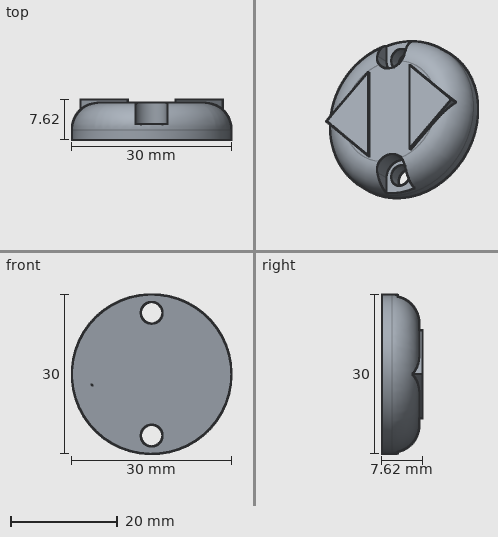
import cadquery as cq

disc_radius = 15.0
rim_height = 1.92
dome_height = 7.05
dome_round = dome_height - rim_height

hole_diameter = 4.02
hole_offset = 11.52
seat_width = 6.0
seat_floor = 3.0

arrow_top = 7.62
arrow_base_x = 4.45
arrow_tip_x = 13.38
arrow_half_width = 8.28
arrow_bottom = 5.7


def extrude_along_y(profile, start, end):
    """Extrude a profile, drawn in X and Z, from Y = start to Y = end."""
    plane = cq.Plane(origin=(0, start, 0), xDir=(1, 0, 0), normal=(0, -1, 0))
    return profile(cq.Workplane(plane)).extrude(start - end)


def make_disc():
    disc = extrude_along_y(lambda plane: plane.circle(disc_radius), 0, dome_height)
    return disc.faces(">Y").edges().fillet(dome_round)


def make_hole(side):
    return extrude_along_y(
        lambda plane: plane.center(0, side * hole_offset).circle(hole_diameter / 2), 0, dome_height
    )


def make_seat(side):
    """U-shaped pocket, round at the hole and open through the outer side."""
    half_width = seat_width / 2
    hole_z = side * hole_offset
    outer_z = side * disc_radius
    return extrude_along_y(
        lambda plane: plane.moveTo(-half_width, outer_z)
        .lineTo(-half_width, hole_z)
        .threePointArc((0, hole_z - side * half_width), (half_width, hole_z))
        .lineTo(half_width, outer_z)
        .close(),
        seat_floor,
        dome_height,
    )


def make_arrow(side):
    corners = [
        (side * arrow_tip_x, 0),
        (side * arrow_base_x, arrow_half_width),
        (side * arrow_base_x, -arrow_half_width),
    ]
    return extrude_along_y(lambda plane: plane.polyline(corners).close(), arrow_bottom, arrow_top)


result = make_disc()
for side in (-1, 1):
    result = result.cut(make_hole(side)).cut(make_seat(side)).union(make_arrow(side))